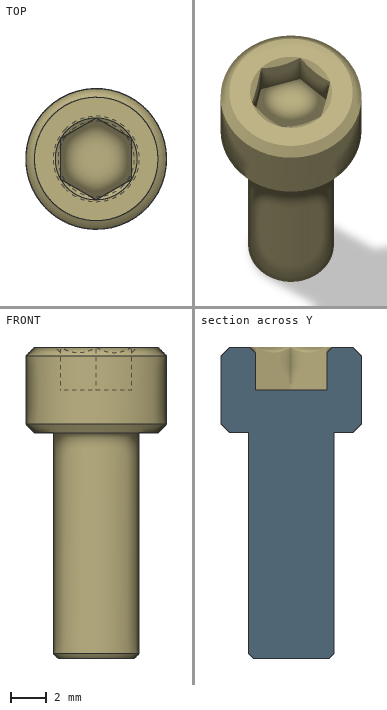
import cadquery as cq
import math

total_length = 17.53
head_diameter = 7.94
head_height = 4.82
head_chamfer = 0.49
shank_diameter = 4.84
tip_chamfer = 0.28

socket_across_flats = 4.0
socket_depth = 2.4
socket_across_corners = socket_across_flats / math.cos(math.radians(30))
lead_in_angle = 45.0

shank_length = total_length - head_height


def make_screw_body():
    """Revolve the half profile of head and shank about the Z axis."""
    head_radius = head_diameter / 2
    shank_radius = shank_diameter / 2
    rim_radius = head_radius - head_chamfer
    profile = (
        cq.Workplane("XZ")
        .moveTo(0, -shank_length)
        .lineTo(shank_radius - tip_chamfer, -shank_length)
        .lineTo(shank_radius, -shank_length + tip_chamfer)
        .lineTo(shank_radius, 0)
        .lineTo(rim_radius, 0)
        .lineTo(head_radius, head_chamfer)
        .lineTo(head_radius, head_height - head_chamfer)
        .lineTo(rim_radius, head_height)
        .lineTo(0, head_height)
        .close()
    )
    return profile.revolve(360, (0, 0, 0), (0, 1, 0))


def make_socket():
    """Hexagonal prism with corners on the Y axis, sunk from the head face."""
    return (
        cq.Workplane("XY", origin=(0, 0, head_height - socket_depth))
        .polygon(6, socket_across_corners)
        .extrude(socket_depth)
        .rotate((0, 0, 0), (0, 0, 1), 90)
    )


def make_socket_lead_in():
    """Cone whose mouth circle passes through the hexagon corners."""
    mouth_radius = socket_across_corners / 2
    cone_depth = mouth_radius * math.tan(math.radians(lead_in_angle))
    cone_tip = cq.Vector(0, 0, head_height - cone_depth)
    return cq.Workplane(cq.Solid.makeCone(0, mouth_radius, cone_depth, pnt=cone_tip))


result = make_screw_body().cut(make_socket()).cut(make_socket_lead_in())